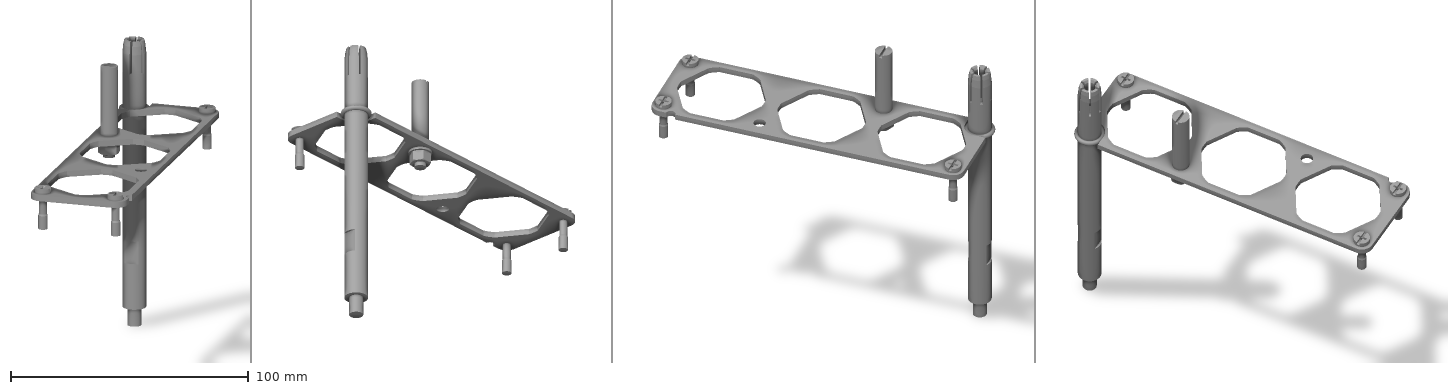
import cadquery as cq
import math


plate_width = 41.9
plate_length = 140.0
plate_thickness = 2.5
corner_inset = 5.0
plate_left = -corner_inset
plate_right = plate_left + plate_width
plate_back = corner_inset
plate_front = plate_back - plate_length
plate_center_x = (plate_left + plate_right) / 2
plate_center_y = (plate_back + plate_front) / 2

window_across_flats = 35.4
window_corner_diameter = 38.3
window_count = 3
window_pitch = 45.0

standoff_x = 2.0
standoff_y = -42.5
standoff_diameter = 7.4
standoff_height = 30.0
standoff_slot_width = 1.1
standoff_slot_depth = 1.4
open_hole_x = 2 * plate_center_x - standoff_x
open_hole_y = 2 * plate_center_y - standoff_y
open_hole_diameter = 5.2

washer_diameter = 10.0
washer_thickness = 1.0
nut_across_flats = 8.0
nut_height = 4.7
nut_chamfer_angle = math.radians(30)
stud_diameter = 5.0
stud_protrusion = 1.7

edge_notch_y = -125.0
edge_notch_radius = 2.0

screw_head_diameter = 7.0
screw_head_height = 2.1
screw_slot_width = 1.3
screw_slot_depth = 1.1
cross_arm_length = 4.5
cross_arm_floor_length = 1.4
cross_arm_width = 1.0
cross_arm_depth = 1.8
screw_neck_diameter = 3.4
screw_neck_length = 6.8
screw_thread_diameter = 4.0
screw_thread_start = 7.5
screw_length = 13.5
screw_positions = [
    (plate_right - corner_inset, plate_back - corner_inset),
    (plate_right - corner_inset, plate_front + corner_inset),
    (plate_left + corner_inset, plate_front + corner_inset),
]

pin_diameter = 10.0
pin_top = 29.0
pin_tip_diameter = 6.0
pin_tip_length = 8.0
pin_bottom = -96.5
flat_across = 8.0
flat_height = 10.0
flat_center_z = -63.5

collet_top_radius = 4.2
collet_step_radius = 4.7
collet_step_z = 27.0
collet_taper_end_z = 23.5
collet_bore_radius = 2.4
collet_mouth_radius = 3.1
collet_mouth_depth = 1.0
collet_bore_bottom = 13.3
drill_point_depth = 1.4
slit_count = 6
slit_width = 1.0
slit_bottom = 15.0

ring_outer_radius = 6.5
ring_wire_radius = 1.0
ring_center_z = -plate_thickness / 2


def cylinder(diameter, bottom, top, x=0.0, y=0.0):
    """Upright cylinder between two heights."""
    return cq.Workplane("XY", origin=(x, y, bottom)).circle(diameter / 2).extrude(top - bottom)


def hexagon_prism(across_flats, bottom, top):
    """Upright hexagonal prism on the Z axis with two sides facing X."""
    across_corners = across_flats / math.cos(math.pi / 6)
    prism = cq.Workplane("XY", origin=(0, 0, bottom)).polygon(6, across_corners).extrude(top - bottom)
    quarter_turn = 90
    return prism.rotate((0, 0, 0), (0, 0, 1), quarter_turn)


def slot_along_x(length, width, depth, top):
    """Cutter for a straight slot across the Z axis, sunk from the height `top`."""
    return cq.Workplane("XY").box(length, width, depth).translate((0, 0, top - depth / 2))


def window_cutter(y):
    """Hexagon with two sides along Y, limited by a circle at its corners."""
    hexagon = hexagon_prism(window_across_flats, -plate_thickness, 0)
    limit = cylinder(window_corner_diameter, -plate_thickness, 0)
    return hexagon.intersect(limit).translate((plate_center_x, y, 0))


def pin_recess_cutter():
    """Open corner recess with a round inner end concentric with the pin."""
    corner = 2 * ring_outer_radius
    outline = (
        cq.Workplane("XY")
        .moveTo(ring_outer_radius, 0)
        .lineTo(ring_outer_radius, corner)
        .lineTo(-corner, corner)
        .lineTo(-corner, -ring_outer_radius)
        .lineTo(0, -ring_outer_radius)
        .radiusArc((ring_outer_radius, 0), -ring_outer_radius)
        .close()
    )
    return outline.extrude(-plate_thickness)


def make_bare_plate():
    plate = (
        cq.Workplane("XY")
        .center(plate_center_x, plate_center_y)
        .rect(plate_width, plate_length)
        .extrude(-plate_thickness)
        .edges("|Z")
        .fillet(corner_inset)
    )
    for index in range(window_count):
        offset = index - (window_count - 1) / 2
        plate = plate.cut(window_cutter(plate_center_y + offset * window_pitch))
    plate = plate.cut(pin_recess_cutter())
    plate = plate.cut(cylinder(open_hole_diameter, -plate_thickness, 0, open_hole_x, open_hole_y))
    return plate.cut(cylinder(2 * edge_notch_radius, -plate_thickness, 0, plate_right, edge_notch_y))


def make_screw():
    """Cheese-head screw on the Z axis with a slot, a cross recess and a reduced neck."""
    underside = -plate_thickness
    profile = [
        (0, screw_head_height),
        (screw_head_diameter / 2, screw_head_height),
        (screw_head_diameter / 2, 0),
        (screw_neck_diameter / 2, 0),
        (screw_neck_diameter / 2, underside - screw_neck_length),
        (screw_thread_diameter / 2, underside - screw_thread_start),
        (screw_thread_diameter / 2, underside - screw_length),
        (0, underside - screw_length),
    ]
    screw = cq.Workplane("XZ").polyline(profile).close().revolve(360, (0, 0, 0), (0, 1, 0))
    slot = slot_along_x(screw_head_diameter, screw_slot_width, screw_slot_depth, screw_head_height)
    cross_floor_z = screw_head_height - cross_arm_depth
    cross_arm_profile = [
        (-cross_arm_length / 2, screw_head_height),
        (cross_arm_length / 2, screw_head_height),
        (cross_arm_floor_length / 2, cross_floor_z),
        (-cross_arm_floor_length / 2, cross_floor_z),
    ]
    cross_arm = (
        cq.Workplane("YZ")
        .polyline(cross_arm_profile)
        .close()
        .extrude(cross_arm_width / 2, both=True)
    )
    return screw.cut(slot).cut(cross_arm)


def make_nut(top):
    """Hexagon nut with two sides facing X and corners chamfered at both ends."""
    corner_diameter = nut_across_flats / math.cos(math.pi / 6)
    hexagon = hexagon_prism(nut_across_flats, top - nut_height, top)
    corner_overhang = (corner_diameter - nut_across_flats) / 2
    chamfer_drop = corner_overhang * math.tan(nut_chamfer_angle)
    turned_blank = cylinder(corner_diameter, top - nut_height, top)
    turned_blank = turned_blank.faces("<Z or >Z").edges().chamfer(chamfer_drop, corner_overhang)
    return hexagon.intersect(turned_blank)


def make_standoff():
    """Slotted standoff with the washer, nut and stud end under the plate."""
    washer_bottom = -plate_thickness - washer_thickness
    stud_bottom = washer_bottom - nut_height - stud_protrusion
    post = cylinder(standoff_diameter, 0, standoff_height)
    slot = slot_along_x(standoff_diameter, standoff_slot_width, standoff_slot_depth, standoff_height)
    post = post.cut(slot)
    washer = cylinder(washer_diameter, washer_bottom, -plate_thickness)
    stud = cylinder(stud_diameter, stud_bottom, 0)
    return post.union(stud).union(washer).union(make_nut(washer_bottom))


def make_plate():
    """Plate together with its corner screws and standoff, as one solid."""
    plate = make_bare_plate()
    for x, y in screw_positions:
        plate = plate.union(make_screw().translate((x, y, 0)))
    return plate.union(make_standoff().translate((standoff_x, standoff_y, 0)))


def make_pin_blank():
    """Turned pin with the collet taper, the bore and the thinner tip."""
    radius = pin_diameter / 2
    tip_radius = pin_tip_diameter / 2
    shoulder_z = pin_bottom + pin_tip_length
    profile = [
        (0, pin_bottom),
        (tip_radius, pin_bottom),
        (tip_radius, shoulder_z),
        (radius, shoulder_z),
        (radius, collet_taper_end_z),
        (collet_step_radius, collet_step_z),
        (collet_top_radius, pin_top),
        (collet_mouth_radius, pin_top),
        (collet_bore_radius, pin_top - collet_mouth_depth),
        (collet_bore_radius, collet_bore_bottom),
        (0, collet_bore_bottom - drill_point_depth),
    ]
    return cq.Workplane("XZ").polyline(profile).close().revolve(360, (0, 0, 0), (0, 1, 0))


def cut_slits(pin):
    """Cut the radial collet slits, the first one along +Y."""
    slit_height = pin_top - slit_bottom
    for index in range(slit_count):
        slit = (
            cq.Workplane("XY")
            .box(slit_width, pin_diameter, slit_height, centered=(True, False, False))
            .translate((0, 0, slit_bottom))
            .rotate((0, 0, 0), (0, 0, 1), index * 360 / slit_count)
        )
        pin = pin.cut(slit)
    return pin


def cut_wrench_flats(pin):
    """Cut two opposite flats facing -Y and +Y."""
    flat_depth = (pin_diameter - flat_across) / 2
    flat_offset = (flat_across + flat_depth) / 2
    for side in (-1, 1):
        cutter = cq.Workplane("XY").box(pin_diameter, flat_depth, flat_height)
        pin = pin.cut(cutter.translate((0, side * flat_offset, flat_center_z)))
    return pin


def make_ring():
    """Exposed part of a round-wire ring, a circular segment standing on the pin surface."""
    pin_radius = pin_diameter / 2
    wire_center = ring_outer_radius - ring_wire_radius
    half_seat = math.sqrt(ring_wire_radius**2 - (wire_center - pin_radius) ** 2)
    return (
        cq.Workplane("XZ")
        .moveTo(pin_radius, ring_center_z - half_seat)
        .threePointArc((ring_outer_radius, ring_center_z), (pin_radius, ring_center_z + half_seat))
        .close()
        .revolve(360, (0, 0, 0), (0, 1, 0))
    )


def make_pin():
    pin = cut_wrench_flats(cut_slits(make_pin_blank()))
    return pin.union(make_ring())


plate = make_plate()
pin = make_pin()
result = cq.Compound.makeCompound([plate.solids().val(), pin.solids().val()])